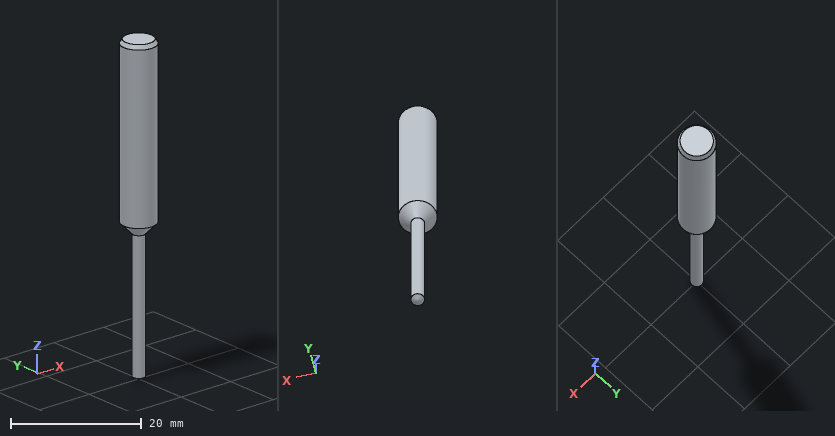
import cadquery as cq

total_length = 56.0
shank_radius = 6.0 / 2

cutter_radius = 1.05
point_height = 0.45
cutter_top = 23.95

taper_height = shank_radius - cutter_radius
top_chamfer_inset = 0.45
top_chamfer_height = 0.7


def revolve_profile(points):
    """Revolve a closed (radius, height) outline around the Z axis."""
    return cq.Workplane("XZ").polyline(points).close().revolve(360, (0, 0, 0), (0, 1, 0))


def make_cutter():
    """Rod whose flat upper end meets the small end of the shank taper."""
    return revolve_profile([
        (0, 0),
        (cutter_radius, point_height),
        (cutter_radius, cutter_top),
        (0, cutter_top),
    ])


def make_shank():
    """Round shank tapering down to the cutter radius."""
    return revolve_profile([
        (0, cutter_top),
        (cutter_radius, cutter_top),
        (shank_radius, cutter_top + taper_height),
        (shank_radius, total_length - top_chamfer_height),
        (shank_radius - top_chamfer_inset, total_length),
        (0, total_length),
    ])


cutter = make_cutter()
shank = make_shank()

result = cq.Compound.makeCompound([cutter.val(), shank.val()])